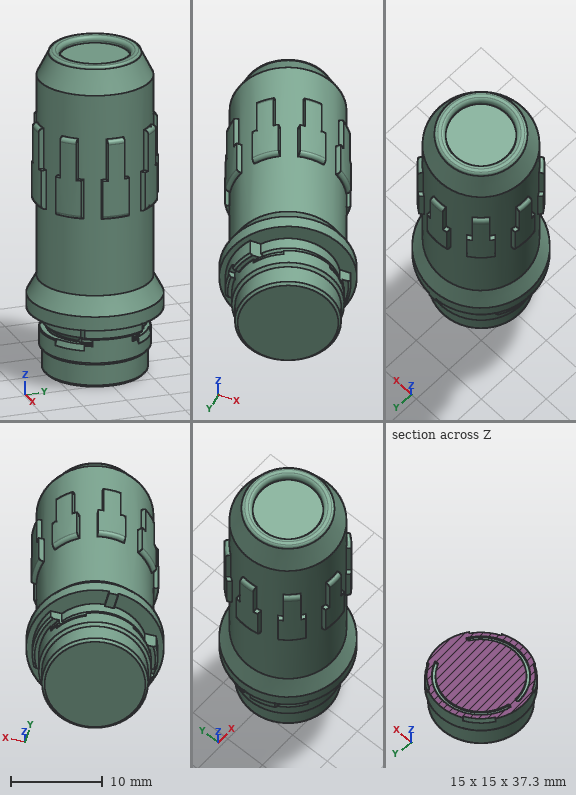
import cadquery as cq
import math

total_height = 37.3
axis_height = 2 * total_height

tail_radius = 5.8
tail_top = 2.7
tail_chamfer = 0.3
ring_radius = 6.1
ring_bottom = 3.02
ring_top = 5.07
ring_chamfer = 0.1

notch_depth = 0.67
notch_inset = 0.25
notch_span = 34
notch_angles = (48, 135, 225, 312)

neck_radius = 5.75
neck_foot_radius = 4.95
neck_taper_top = 5.8
groove_radius = 5.35
groove_floor = ring_top - 0.37

flange_radius = 7.5
flange_bottom = 7.35
flange_rim_top = 8.95
shell_bottom = 11.0
shell_radius = 6.38

nose_bottom = 34.4
rim_outer_radius = 5.07
rim_outer_rounding = 0.35
rim_inner_rounding = 0.5
recess_radius = 3.85
recess_depth = 0.75

sector_radius = 6.83
sector_half_width = 3.32
sector_chamfer = 0.25
step_height = 5.9
sector_foot_radius = 6.0
key_half_width = 0.52
raised_wall_half_width = 2.3
flange_key_drop = 0.37
flange_key_half_width = 0.52

rib_count = 8
rib_radius = 6.95
rib_root_radius = 6.15
rib_bottom = 20.03
rib_step = 24.58
rib_top = 29.28
rib_wide = 3.05
rib_narrow = 1.95
rib_rounding = 0.45


def cylinder(radius, bottom, top):
    return cq.Workplane("XY").workplane(offset=bottom).circle(radius).extrude(top - bottom)


def box(x_range, y_range, z_range):
    lows, highs = zip(x_range, y_range, z_range)
    sizes = [high - low for low, high in zip(lows, highs)]
    return cq.Workplane("XY").box(*sizes, centered=False).translate(lows)


def make_body():
    """Revolve the whole round profile, from the tail to the recessed nose."""
    arc_share = math.sqrt(0.5)
    rim_flat_outer = rim_outer_radius - rim_outer_rounding
    rim_flat_inner = recess_radius + rim_inner_rounding
    rim_edge_height = total_height - rim_outer_rounding
    recess_edge_height = total_height - rim_inner_rounding
    return (
        cq.Workplane("XZ")
        .lineTo(tail_radius - tail_chamfer, 0)
        .lineTo(tail_radius, tail_chamfer)
        .lineTo(tail_radius, tail_top)
        .lineTo(ring_radius, ring_bottom)
        .lineTo(ring_radius, ring_top - ring_chamfer)
        .lineTo(ring_radius - ring_chamfer, ring_top)
        .lineTo(groove_radius, ring_top)
        .lineTo(groove_radius, groove_floor)
        .lineTo(neck_foot_radius, groove_floor)
        .lineTo(neck_foot_radius, ring_top)
        .lineTo(neck_radius, neck_taper_top)
        .lineTo(neck_radius, flange_bottom)
        .lineTo(flange_radius, flange_bottom)
        .lineTo(flange_radius, flange_rim_top)
        .lineTo(shell_radius, shell_bottom)
        .lineTo(shell_radius, nose_bottom)
        .lineTo(rim_outer_radius, rim_edge_height)
        .threePointArc(
            (rim_flat_outer + rim_outer_rounding * arc_share,
             rim_edge_height + rim_outer_rounding * arc_share),
            (rim_flat_outer, total_height),
        )
        .lineTo(rim_flat_inner, total_height)
        .threePointArc(
            (rim_flat_inner - rim_inner_rounding * arc_share,
             recess_edge_height + rim_inner_rounding * arc_share),
            (recess_radius, recess_edge_height),
        )
        .lineTo(recess_radius, total_height - recess_depth)
        .lineTo(0, total_height - recess_depth)
        .close()
        .revolve(360, (0, 0), (0, 1))
    )


def cut_ring_notches(body):
    """Cut a conical slope into the top edge of the ring at each notch."""
    cutter = (
        cq.Workplane("XZ")
        .moveTo(ring_radius, ring_top - notch_depth)
        .lineTo(flange_radius, ring_top - notch_depth)
        .lineTo(flange_radius, ring_top)
        .lineTo(ring_radius - notch_inset, ring_top)
        .close()
        .revolve(notch_span, (0, 0), (0, 1))
        .rotate((0, 0, 0), (0, 0, 1), -notch_span / 2)
    )
    for angle in notch_angles:
        body = body.cut(cutter.rotate((0, 0, 0), (0, 0, 1), angle))
    return body


def chamfered_disc(radius, bottom):
    """Disc hanging below the flange, with its lower edge chamfered."""
    return cylinder(radius, bottom, flange_bottom).faces("<Z").chamfer(sector_chamfer)


def make_left_sector():
    """-X sector, with a seat for the ring key cut up into its foot."""
    band = (-sector_half_width, sector_half_width)
    sector = chamfered_disc(sector_radius, ring_top).intersect(
        box((-flange_radius, 0), band, (0, axis_height))
    )
    key_band = (-key_half_width, key_half_width)
    seat = box((-flange_radius, 0), key_band, (0, step_height))
    key = cylinder(ring_radius, ring_bottom, step_height).intersect(seat)
    return sector.cut(seat).union(key)


def make_right_sector():
    """+X sector, stepped inward below and backed by a raised stretch of the ring."""
    band = (-sector_half_width, sector_half_width)
    discs = chamfered_disc(sector_radius, step_height).union(
        chamfered_disc(sector_foot_radius, ring_top)
    )
    sector = discs.intersect(box((0, flange_radius), band, (0, axis_height)))
    wall_band = (-raised_wall_half_width, raised_wall_half_width)
    wall_region = box((0, flange_radius), wall_band, (groove_floor, step_height))
    wall = cylinder(ring_radius, groove_floor, step_height).intersect(wall_region)
    return sector.union(wall)


def make_flange_key():
    """Small key hanging below the flange on the +Y side."""
    bottom = flange_bottom - flange_key_drop
    key_band = (-flange_key_half_width, flange_key_half_width)
    region = box(key_band, (0, flange_radius), (bottom, flange_bottom))
    return cylinder(flange_radius, bottom, flange_bottom).intersect(region)


def make_rib():
    """One grip rib on the +X side: wide below, narrow above, rounded at both ends."""
    profile = (
        cq.Workplane("XZ")
        .moveTo(rib_root_radius, rib_bottom)
        .lineTo(rib_radius - rib_rounding, rib_bottom)
        .radiusArc((rib_radius, rib_bottom + rib_rounding), -rib_rounding)
        .lineTo(rib_radius, rib_top - rib_rounding)
        .radiusArc((rib_radius - rib_rounding, rib_top), -rib_rounding)
        .lineTo(rib_root_radius, rib_top)
        .close()
    )
    band = profile.revolve(360, (0, 0), (0, 1))
    wide = box((0, flange_radius), (-rib_wide / 2, rib_wide / 2), (rib_bottom, rib_step))
    narrow = box((0, flange_radius), (-rib_narrow / 2, rib_narrow / 2), (rib_step, rib_top))
    return band.intersect(wide.union(narrow))


result = cut_ring_notches(make_body())
result = result.union(make_left_sector()).union(make_right_sector()).union(make_flange_key())

rib = make_rib()
for index in range(rib_count):
    result = result.union(rib.rotate((0, 0, 0), (0, 0, 1), index * 360 / rib_count))